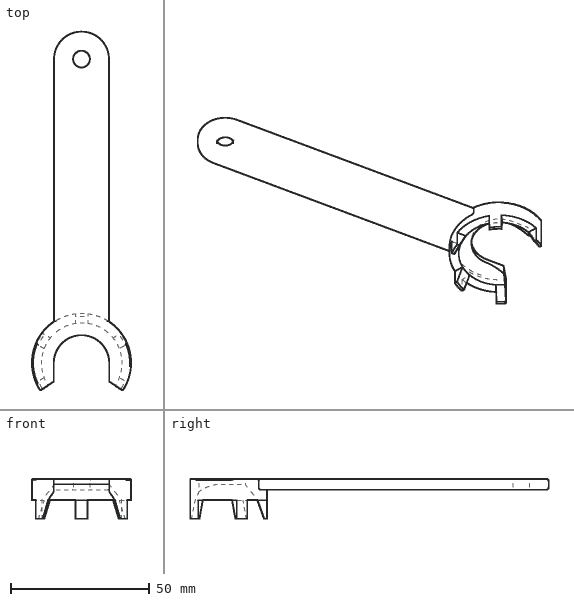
import cadquery as cq
import math

total_height = 14.5
head_radius = 18.0
head_height = 7.75
head_edge_radius = 0.5

jaw_half_width = 10.0
jaw_end_angle = 34.0

handle_width = 20.0
handle_thickness = 4.0
handle_edge_radius = 1.0
hole_distance = 110.0
hole_diameter = 6.0

tooth_width = 4.5
tooth_angles = (-30, 30, 90, 150, 210)

bore_land = 2.0
hollow_mid_radius = 14.6
hollow_tip_radius = 17.0

head_bottom = total_height - head_height
handle_bottom = total_height - handle_thickness
hole_radius = hole_diameter / 2


def make_jaw_opening():
    """Wedge, with its point on the head axis, that separates the two jaw ends."""
    reach = 2 * head_radius
    drop = reach * math.tan(math.radians(jaw_end_angle))
    corners = [(0, 0), (-reach, -drop), (-reach, -2 * reach), (reach, -2 * reach), (reach, -drop)]
    return cq.Workplane("XY").polyline(corners).close().extrude(total_height)


def make_tooth_space():
    """Everything below the head's underside except the parallel-sided teeth."""
    reach = 2 * head_radius
    space = cq.Workplane("XY").circle(head_radius).extrude(head_bottom)
    for angle in tooth_angles:
        tooth = (
            cq.Workplane("XY")
            .rect(reach, tooth_width)
            .extrude(head_bottom)
            .translate((reach / 2, 0, 0))
            .rotate((0, 0, 0), (0, 0, 1), angle)
        )
        space = space.cut(tooth)
    return space


def make_head():
    """C-shaped disc, rounded at its jaw corners and top edge, with teeth left standing below."""
    disc = cq.Workplane("XY").circle(head_radius).extrude(total_height)
    blank = disc.cut(make_jaw_opening())
    blank = blank.edges("|Z").edges("<Y").fillet(head_edge_radius)
    return blank.faces(">Z").edges().fillet(head_edge_radius).cut(make_tooth_space())


def make_handle():
    """Flat bar with a round end and rounded long edges on both faces."""
    half_width = handle_width / 2
    bar = (
        cq.Workplane("XY")
        .workplane(offset=handle_bottom)
        .moveTo(-half_width, 0)
        .lineTo(half_width, 0)
        .lineTo(half_width, hole_distance)
        .threePointArc((0, hole_distance + half_width), (-half_width, hole_distance))
        .close()
        .extrude(handle_thickness)
    )
    hole = (
        cq.Workplane("XY")
        .circle(hole_radius)
        .extrude(total_height)
        .translate((0, hole_distance, 0))
    )
    return bar.cut(hole).faces("<Z or >Z").edges("not <Y").fillet(handle_edge_radius)


def make_jaw_slot():
    """Round-bottomed U slot that opens toward -Y."""
    bore = cq.Workplane("XY").circle(jaw_half_width).extrude(total_height)
    mouth = (
        cq.Workplane("XY")
        .rect(2 * jaw_half_width, head_radius)
        .extrude(total_height)
        .translate((0, -head_radius / 2, 0))
    )
    return bore.union(mouth)


def make_hollow():
    """Double-coned hollow turned about the head axis."""
    hollow_top = total_height - bore_land
    profile = [
        (0, 0),
        (hollow_tip_radius, 0),
        (hollow_mid_radius, head_bottom),
        (jaw_half_width, hollow_top),
        (0, hollow_top),
    ]
    return cq.Workplane("XZ").polyline(profile).close().revolve(360, (0, 0, 0), (0, 1, 0))


result = make_head().union(make_handle()).cut(make_jaw_slot()).cut(make_hollow())